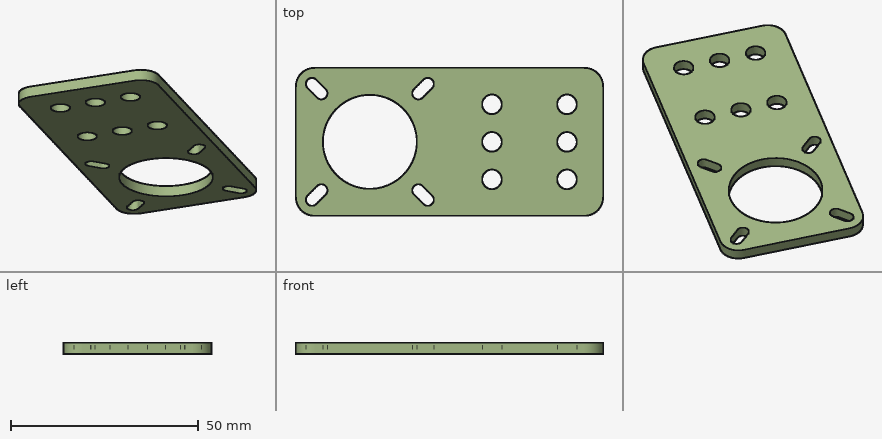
import cadquery as cq

length = 82.0
width = 39.5
thickness = 3.0
corner_radius = 5.0

motor_x = -21.2
motor_opening_diameter = 25.0
slot_offset = 14.2
slot_width = 3.2
slot_length = 6.7

grid_x = 21.3
column_pitch = 20.0
row_pitch = 10.0
columns = 2
rows = 3
mounting_hole_diameter = 5.2


def make_plate():
    plate = cq.Workplane("XY").box(length, width, thickness)
    return plate.edges("|Z").fillet(corner_radius)


def cut_motor_mount(plate):
    plate = (
        plate.faces(">Z").workplane(origin=(motor_x, 0, 0))
        .hole(motor_opening_diameter)
    )
    for x_side in (-1, 1):
        for y_side in (-1, 1):
            center = (motor_x + x_side * slot_offset, y_side * slot_offset)
            angle = 45 * x_side * y_side
            plate = (
                plate.faces(">Z").workplane(origin=(0, 0, 0))
                .pushPoints([center])
                .slot2D(slot_length, slot_width, angle)
                .cutThruAll()
            )
    return plate


def cut_mounting_holes(plate):
    return (
        plate.faces(">Z").workplane(origin=(grid_x, 0, 0))
        .rarray(column_pitch, row_pitch, columns, rows)
        .hole(mounting_hole_diameter)
    )


result = cut_mounting_holes(cut_motor_mount(make_plate()))